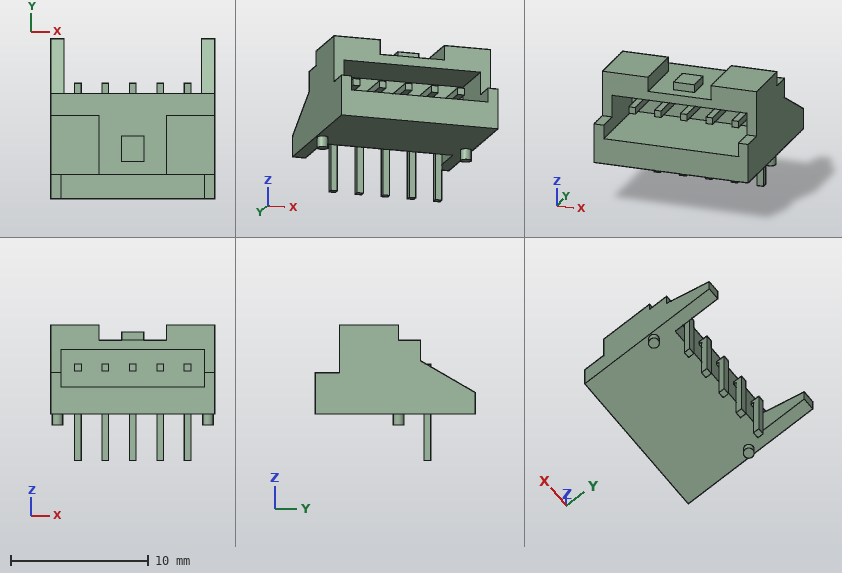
import cadquery as cq

width = 12.0
total_depth = 11.7
total_height = 9.9
housing_height = 6.5
housing_depth = 7.7
lip_depth = 1.78
lip_height = 3.02
block_back = 6.1
deck_height = 5.4
notch_width = 4.9

arm_width = 1.0
arm_root_height = 3.89
arm_end_height = 1.57

cavity_width = 10.46
cavity_floor = 1.97
cavity_ceiling = 4.72
cavity_depth = 6.0

latch_width = 1.61
latch_front = 2.74
latch_back = 4.61
latch_top = 6.0

pin_count = 5
pin_pitch = 2.0
pin_size = 0.5
pin_center_z = 3.38
pin_tip_y = 2.64
pin_back = 8.45
pin_drop = total_height - housing_height

peg_diameter = 0.79
peg_length = 0.8
peg_inset = 0.5
peg_y = 6.1


def box(x_center, x_size, y_start, y_end, z_start, z_end):
    """Box centred on x_center, spanning the given Y and Z ranges."""
    return (
        cq.Workplane("XY")
        .box(x_size, y_end - y_start, z_end - z_start, centered=(True, False, False))
        .translate((x_center, y_start, z_start))
    )


def make_housing():
    profile = [
        (0, 0),
        (housing_depth, 0),
        (housing_depth, deck_height),
        (block_back, deck_height),
        (block_back, housing_height),
        (lip_depth, housing_height),
        (lip_depth, lip_height),
        (0, lip_height),
    ]
    body = cq.Workplane("YZ").polyline(profile).close().extrude(width / 2, both=True)
    notch = box(0, notch_width, 0, block_back, deck_height, housing_height)
    cavity = box(0, cavity_width, 0, cavity_depth, cavity_floor, cavity_ceiling)
    latch = box(0, latch_width, latch_front, latch_back, deck_height, latch_top)
    return body.cut(notch).cut(cavity).union(latch)


def make_arm(x_start):
    profile = [
        (housing_depth, 0),
        (total_depth, 0),
        (total_depth, arm_end_height),
        (housing_depth, arm_root_height),
    ]
    arm = cq.Workplane("YZ").polyline(profile).close().extrude(arm_width)
    return arm.translate((x_start, 0, 0))


def make_pin(x):
    pin_top = pin_center_z + pin_size / 2
    contact = box(x, pin_size, pin_tip_y, pin_back, pin_top - pin_size, pin_top)
    tail = box(x, pin_size, pin_back - pin_size, pin_back, -pin_drop, pin_top)
    return contact.union(tail)


def make_peg(x):
    peg = cq.Workplane("XY").circle(peg_diameter / 2).extrude(-peg_length)
    return peg.translate((x, peg_y, 0))


result = make_housing()
for arm_x in (-width / 2, width / 2 - arm_width):
    result = result.union(make_arm(arm_x))
for index in range(pin_count):
    result = result.union(make_pin((index - (pin_count - 1) / 2) * pin_pitch))
for side in (-1, 1):
    result = result.union(make_peg(side * (width / 2 - peg_inset)))